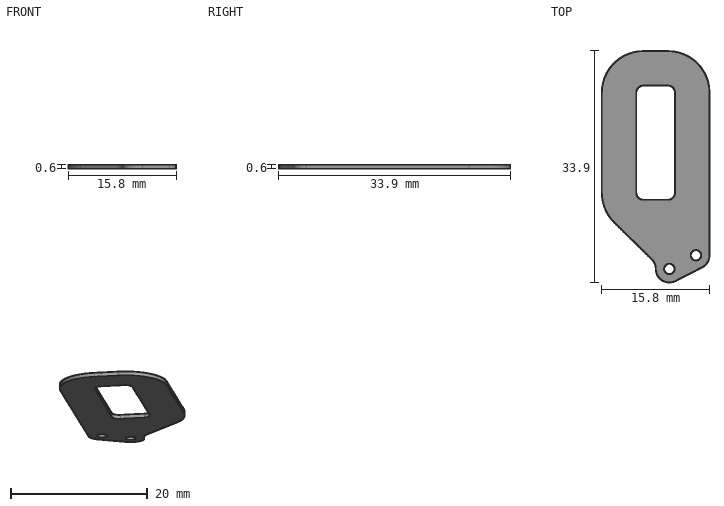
import cadquery as cq
import math

width = 15.8
length = 33.9
thickness = 0.6

margin = 5.1
window_width = width - 2 * margin
window_length = 16.68
window_radius = 1.02
window_center_y = length - margin - window_length / 2

corner_radius = margin + window_radius
corner_x = width / 2 - corner_radius
upper_corner_y = length - corner_radius
lower_corner_y = length - margin - window_length + window_radius

hole_diameter = 1.5
lug_radius = 2.0
lug_hole = (2.0, lug_radius)
side_hole = (width / 2 - lug_radius, 2 * lug_radius)
neck_radius = lug_radius
neck_center = (lug_hole[0] - lug_radius - neck_radius, lug_hole[1])

lug_edge_angle = math.degrees(math.atan2(side_hole[1] - lug_hole[1], side_hole[0] - lug_hole[0]))
lug_edge_normal = lug_edge_angle - 90
slant_normal = 225
neck_start = slant_normal - 180


def on_circle(center, radius, angle):
    """Point on a circle at an angle in degrees."""
    a = math.radians(angle)
    return (center[0] + radius * math.cos(a), center[1] + radius * math.sin(a))


def add_arc(path, center, radius, start, end):
    """Draw a line to the start of an arc, then the arc itself."""
    return path.lineTo(*on_circle(center, radius, start)).threePointArc(
        on_circle(center, radius, (start + end) / 2),
        on_circle(center, radius, end),
    )


def make_plate():
    """Outline followed counter-clockwise from the middle of the top edge."""
    path = cq.Workplane("XY").moveTo(0, length)
    path = add_arc(path, (-corner_x, upper_corner_y), corner_radius, 90, 180)
    path = add_arc(path, (-corner_x, lower_corner_y), corner_radius, 180, slant_normal)
    path = add_arc(path, neck_center, neck_radius, neck_start, 0)
    path = path.threePointArc(
        on_circle(lug_hole, lug_radius, (lug_edge_normal - 180) / 2),
        on_circle(lug_hole, lug_radius, lug_edge_normal),
    )
    path = add_arc(path, side_hole, lug_radius, lug_edge_normal, 0)
    path = add_arc(path, (corner_x, upper_corner_y), corner_radius, 0, 90)
    return path.close().extrude(thickness)


def make_window():
    return (
        cq.Workplane("XY")
        .center(0, window_center_y)
        .rect(window_width, window_length)
        .extrude(thickness)
        .edges("|Z")
        .fillet(window_radius)
    )


def make_holes():
    return (
        cq.Workplane("XY")
        .pushPoints([lug_hole, side_hole])
        .circle(hole_diameter / 2)
        .extrude(thickness)
    )


result = make_plate().cut(make_window()).cut(make_holes())